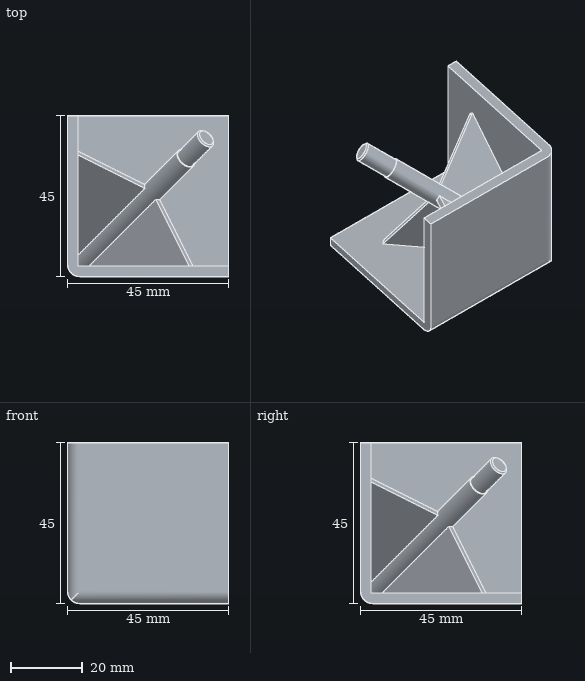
import cadquery as cq
import math

side = 45.0
wall = 3.0
outer_radius = 3.5

rod_radius = 3.0
rod_length = 62.0
thread_radius = 2.8
thread_length = 10.0
tip_chamfer = 0.45

rib_thickness = 1.5
rib_rod_length = 36.35

inner_corner = cq.Vector(wall, wall, wall)
diagonal = cq.Vector(1, 1, 1)


def make_cavity():
    """Open space between the walls."""
    return cq.Workplane().box(side, side, side, centered=False).translate(inner_corner)


def rounded_block(edge_selector):
    """Full cube with its lowest edge of one direction rounded."""
    return cq.Workplane().box(side, side, side, centered=False).edges(edge_selector).fillet(outer_radius)


def make_walls():
    block = rounded_block("<(0, 1, 1)")
    block = block.intersect(rounded_block("<(1, 0, 1)"))
    block = block.intersect(rounded_block("<(1, 1, 0)"))
    return block.cut(make_cavity())


def make_rod():
    axis_plane = cq.Plane(origin=inner_corner, xDir=(1, -1, 0), normal=diagonal)
    shank = cq.Workplane(axis_plane).circle(rod_radius).extrude(rod_length - thread_length)
    thread = cq.Workplane(axis_plane).circle(thread_radius).extrude(rod_length)
    thread = thread.faces(cq.selectors.DirectionMinMaxSelector(diagonal)).chamfer(tip_chamfer)
    return shank.union(thread).intersect(make_cavity())


def make_rib(wall_diagonal, rib_normal):
    """Triangular plate between the rod axis and a wall diagonal, both through the inner corner."""
    sin_slope = 1 / math.sqrt(3)
    diagonal_length = rib_rod_length / math.sqrt(1 - sin_slope**2)
    rod_end_x = rib_rod_length * math.sqrt(1 - sin_slope**2)
    rod_end_y = rib_rod_length * sin_slope
    rib_plane = cq.Plane(origin=inner_corner, xDir=wall_diagonal, normal=rib_normal)
    return (
        cq.Workplane(rib_plane)
        .polyline([(0, 0), (diagonal_length, 0), (rod_end_x, rod_end_y)])
        .close()
        .extrude(rib_thickness / 2, both=True)
    )


result = make_walls().union(make_rod())
for wall_diagonal, rib_normal in (
    ((0, 1, 1), (0, 1, -1)),
    ((1, 0, 1), (-1, 0, 1)),
    ((1, 1, 0), (1, -1, 0)),
):
    result = result.union(make_rib(wall_diagonal, rib_normal))